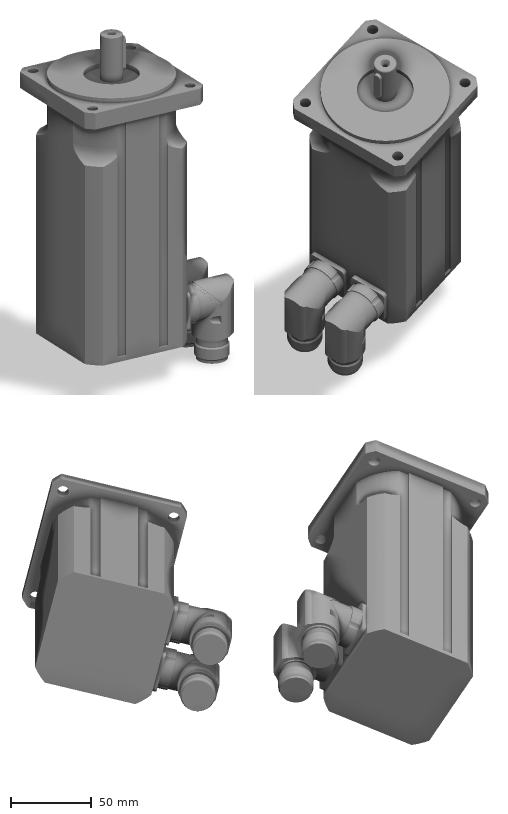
import cadquery as cq
import math


overall_height = 226
overall_depth = 119.0

flange_side = 86.0
flange_thickness = 10.8
flange_corner_dia = 115.0
pilot_dia = 80.0
pilot_height = 3.2
recess_dia = 35.0
recess_depth = 3.5
bolt_spacing = 70.7
bolt_hole_dia = 7.0

body_side = 74.1
body_corner_dia = 94.0
housing_length = 133.0
cover_length = 29.8
body_top = -flange_thickness
seam_z = body_top - housing_length
body_bottom = seam_z - cover_length

relief_dia = pilot_dia
relief_length = 20.0
relief_fillet = 10.0

groove_width = 6.3
groove_depth = 1.4
groove_offset = 15.1
groove_end_gap = 3.2

shaft_dia = 14.0
shaft_top = 30.0
shaft_bottom = pilot_height - recess_depth
shaft_chamfer = 0.5
centre_mouth_dia = 6.0
centre_hole_dia = 2.7
centre_hole_depth = 6.8
centre_cone_angle = 60
key_width = 5.0
key_length = 22.5
key_crest = 9.0
key_seat = shaft_dia / 4
key_top_gap = 3.5

connector_spacing = 31.0
connector_bottom = shaft_top - overall_height
cable_end_drop = 40.0
elbow_z = connector_bottom + cable_end_drop
barrel_radius = 12.7
elbow_y = overall_depth - flange_side / 2 - barrel_radius
barrel_drop = 23.3
back_flat_width = 10.8
back_flank_angle = 41
back_flank_sagitta = 0.5
hood_radius = 12.9
mitre_start = -1.0
hood_plane_offset = 0.5
collar_radius = 12.2
collar_plane_offset = -2.3
nose_dia = 24.0
nose_end = elbow_y - body_side / 2

mount_radius = 12.9
mount_thickness = 6.8
plate_thickness = 3.0
plate_corner = 2.7
scallop_radius = 3.5
access_radius = 2.5
screw_offset = 11.0
access_x = 12.7
access_drop = 9.7

cable_end_dia = 20.0
nut_dia = 22.0
neck_top_length = 1.4
nut_bottom_gap = 3.0
nut_height = 7.0
nut_top_bevel = 0.7
nut_bottom_bevel = 1.1


def rounded_square_prism(side, corner_dia, bottom, top):
    """Square prism whose corners are turned to a diameter."""
    height = top - bottom
    square = cq.Workplane().workplane(offset=bottom).rect(side, side).extrude(height)
    turned = cq.Workplane().workplane(offset=bottom).circle(corner_dia / 2).extrude(height)
    return square.intersect(turned)


def corner_relief():
    """Ring that turns the body corners down below the flange, ending in a concave fillet."""
    inner = relief_dia / 2
    outer = inner + relief_fillet
    fillet_top = body_top - relief_length
    fillet_bottom = fillet_top - relief_fillet
    mid_shift = relief_fillet * math.sqrt(0.5)
    return (
        cq.Workplane("XZ")
        .moveTo(inner, body_top)
        .lineTo(inner, fillet_top)
        .threePointArc((outer - mid_shift, fillet_top - mid_shift), (outer, fillet_bottom))
        .lineTo(outer, body_top)
        .close()
        .revolve(360, (0, 0), (0, 1))
    )


def side_grooves():
    """Four grooves, two on each X face, from the flange to just above the bottom of the body."""
    bottom = body_bottom + groove_end_gap
    height = body_top - bottom
    places = [(sx * body_side / 2, sy * groove_offset) for sx in (-1, 1) for sy in (-1, 1)]
    return (
        cq.Workplane()
        .workplane(offset=bottom)
        .pushPoints(places)
        .rect(2 * groove_depth, groove_width)
        .extrude(height)
    )


def make_housing():
    flange = (
        rounded_square_prism(flange_side, flange_corner_dia, body_top, 0)
        .faces(">Z")
        .workplane()
        .rect(bolt_spacing, bolt_spacing, forConstruction=True)
        .vertices()
        .hole(bolt_hole_dia)
    )
    pilot = cq.Workplane().circle(pilot_dia / 2).extrude(pilot_height)
    recess = cq.Workplane().workplane(offset=shaft_bottom).circle(recess_dia / 2).extrude(recess_depth)
    body = rounded_square_prism(body_side, body_corner_dia, seam_z, body_top)
    body = body.cut(corner_relief()).cut(side_grooves())
    return body.union(flange).union(pilot).cut(recess)


def make_end_cover():
    cover = rounded_square_prism(body_side, body_corner_dia, body_bottom, seam_z)
    return cover.cut(side_grooves())


def centre_hole():
    """Drilled hole with a conical mouth in the top of the shaft."""
    mouth = centre_mouth_dia / 2
    drill = centre_hole_dia / 2
    cone_depth = (mouth - drill) / math.tan(math.radians(centre_cone_angle / 2))
    outline = [
        (0, shaft_top),
        (mouth, shaft_top),
        (drill, shaft_top - cone_depth),
        (drill, shaft_top - centre_hole_depth),
        (0, shaft_top - centre_hole_depth),
    ]
    return cq.Workplane("XZ").polyline(outline).close().revolve(360, (0, 0), (0, 1))


def make_shaft():
    """Shaft standing on the recess floor, with its round-ended key on the +Y side."""
    shaft = (
        cq.Workplane()
        .workplane(offset=shaft_bottom)
        .circle(shaft_dia / 2)
        .extrude(shaft_top - shaft_bottom)
        .faces(">Z")
        .chamfer(shaft_chamfer)
    )
    key = (
        cq.Workplane("XZ", origin=(0, key_crest, shaft_top - key_top_gap - key_length / 2))
        .slot2D(key_length, key_width, 90)
        .extrude(key_crest - key_seat)
    )
    return shaft.union(key).cut(centre_hole())


def y_cylinder(radius, start, end):
    """Cylinder along Y between two Y positions."""
    return cq.Workplane("XZ", origin=(0, end, 0)).circle(radius).extrude(end - start)


def mitre_zone(offset):
    """Prism on the nose side of the barrel, above the 45 degree plane z = offset - y."""
    reach = nose_end
    corner_z = offset - mitre_start
    outline = [
        (mitre_start, corner_z),
        (mitre_start - reach, corner_z + reach),
        (mitre_start, corner_z + reach),
    ]
    return cq.Workplane("YZ").polyline(outline).close().extrude(barrel_radius, both=True)


def barrel_prism():
    """Upright round barrel whose back is widened to a narrow flat by two concave flanks."""
    angle = math.radians(back_flank_angle)
    flank_x = barrel_radius * math.sin(angle)
    flank_y = barrel_radius * math.cos(angle)
    flat_x = back_flat_width / 2
    return (
        cq.Workplane()
        .workplane(offset=-barrel_drop)
        .moveTo(-flat_x, barrel_radius)
        .lineTo(flat_x, barrel_radius)
        .sagittaArc((flank_x, flank_y), back_flank_sagitta)
        .threePointArc((0, -barrel_radius), (-flank_x, flank_y))
        .sagittaArc((-flat_x, barrel_radius), back_flank_sagitta)
        .close()
        .extrude(barrel_drop + hood_radius)
    )


def hood_envelope():
    """Round-topped block along Y that rounds off the top of the barrel."""
    return (
        cq.Workplane("XZ")
        .moveTo(-hood_radius, 0)
        .threePointArc((0, hood_radius), (hood_radius, 0))
        .lineTo(hood_radius, -barrel_drop)
        .lineTo(-hood_radius, -barrel_drop)
        .close()
        .extrude(nose_end, both=True)
    )


def elbow():
    """Barrel with a rounded hood, and a nose that joins it through a collar along the mitre."""
    hood_zone = mitre_zone(hood_plane_offset)
    collar_zone = mitre_zone(collar_plane_offset).cut(hood_zone)
    barrel = barrel_prism().intersect(hood_envelope()).cut(collar_zone)
    collar = y_cylinder(collar_radius, -nose_end, mitre_start).intersect(collar_zone)
    nose = y_cylinder(nose_dia / 2, -nose_end, mitre_start).cut(hood_zone)
    return barrel.union(collar).union(nose)


def mounting_end():
    """Ring scalloped for four screws, on a rounded square plate against the end cover."""
    plate_front = plate_thickness - nose_end
    ring = y_cylinder(mount_radius, plate_front, plate_front + mount_thickness)
    for sx in (-1, 1):
        for sz in (-1, 1):
            scallop = y_cylinder(scallop_radius, plate_front, plate_front + mount_thickness)
            ring = ring.cut(scallop.translate((sx * screw_offset, 0, sz * screw_offset)))
    plate = (
        cq.Workplane("XZ", origin=(0, plate_front, 0))
        .rect(2 * mount_radius, 2 * mount_radius)
        .extrude(plate_thickness)
        .edges("|Y")
        .fillet(plate_corner)
    )
    return ring.union(plate)


def screw_access():
    """Grooves in both flanks of the barrel that clear the way to the lower screws."""
    groove = y_cylinder(access_radius, -barrel_radius, mitre_start)
    left = groove.translate((-access_x, 0, -access_drop))
    right = groove.translate((access_x, 0, -access_drop))
    return left.union(right)


def cable_end():
    """Turned neck below the barrel carrying a bevelled nut."""
    neck = cable_end_dia / 2
    nut = nut_dia / 2
    nut_bottom = nut_bottom_gap - cable_end_drop
    nut_top = nut_bottom + nut_height
    outline = [
        (0, -barrel_drop),
        (nut, -barrel_drop),
        (nut, -barrel_drop - neck_top_length),
        (neck, -barrel_drop - neck_top_length),
        (neck, nut_top + nut_top_bevel),
        (nut, nut_top),
        (nut, nut_bottom),
        (neck, nut_bottom - nut_bottom_bevel),
        (neck, -cable_end_drop),
        (0, -cable_end_drop),
    ]
    return cq.Workplane("XZ").polyline(outline).close().revolve(360, (0, 0), (0, 1))


def make_connector(x):
    connector = elbow().cut(screw_access()).union(mounting_end()).union(cable_end())
    return connector.translate((x, elbow_y, elbow_z))


housing = make_housing()
end_cover = make_end_cover()
shaft = make_shaft()
connectors = [make_connector(side * connector_spacing / 2) for side in (-1, 1)]

result = cq.Compound.makeCompound(
    [
        housing.val(),
        end_cover.val(),
        shaft.val(),
        *[connector.val() for connector in connectors],
    ]
)